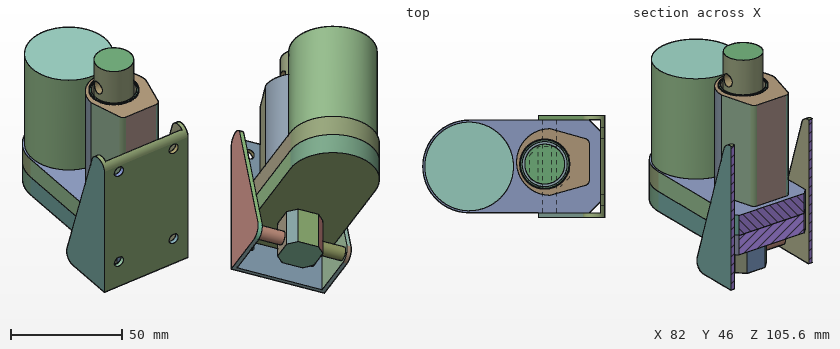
import cadquery as cq
import math


GEARBOX_RADIUS = 20.9
GEARBOX_CHAMFER = 4.9
HALF_HEIGHT = 10.0
TAIL_HEIGHT = 18.0
SPLIT_Z = TAIL_HEIGHT + HALF_HEIGHT
GEARBOX_TOP = SPLIT_Z + HALF_HEIGHT

MOTOR_RADIUS = 20.0
MOTOR_HEIGHT = 50.5

TUBE_X = 36.3
TUBE_Y = 2.0
TUBE_RADIUS = 15.0
TUBE_FLAT_X = 54.1
TUBE_FLAT_HALF_WIDTH = 10.0
TUBE_CORNER_RADIUS = 2.3
TUBE_TOP = 88.8

ROD_X = 34.0
ROD_Y = 1.1
ROD_RADIUS = 9.0
ROD_TOP = 105.6
ROD_HOLE_DIAMETER = 6.1
ROD_HOLE_Z = 93.7
BORE_RADIUS = 10.1
GROOVE_INNER_RADIUS = 10.9
GROOVE_OUTER_RADIUS = 11.3
GROOVE_DEPTH = 0.5

TAIL_X = 36.1
TAIL_WIDTH = 17.9
TAIL_CHAMFER = 3.9
PIN_DIAMETER = 6.4
PIN_Z = 6.5

BRACKET_WIDTH = 46.0
BRACKET_INNER_WIDTH = 2 * GEARBOX_RADIUS
SHEET = (BRACKET_WIDTH - BRACKET_INNER_WIDTH) / 2
OVERALL_LENGTH = 82.0
BRACKET_BACK_X = OVERALL_LENGTH - GEARBOX_RADIUS
PLATE_FACE_X = BRACKET_BACK_X - SHEET
CORNER_RADIUS = 5.0
BRACKET_BOTTOM = PIN_Z - CORNER_RADIUS
BRACKET_TOP = 74.2
SCREW_HOLE_DIAMETER = 5.0
SCREW_HOLE_Y = 15.0
SCREW_HOLE_LEVELS = (15.5, 66.1)


def level(z):
    """Horizontal workplane at height z."""
    return cq.Workplane("XY").workplane(offset=z)


def cylinder(x, y, z, radius, height):
    """Upright cylinder standing on height z."""
    return level(z).center(x, y).circle(radius).extrude(height)


def along_y(x, z, diameter, length):
    """Cylinder parallel to Y, centred on the XZ plane."""
    return cq.Workplane("XZ").center(x, z).circle(diameter / 2).extrude(length / 2, both=True)


def gearbox_half(z):
    """Round-ended plate with its two bracket-side corners chamfered."""
    r = GEARBOX_RADIUS
    block = (
        level(z)
        .moveTo(0, r)
        .threePointArc((-r, 0), (0, -r))
        .lineTo(PLATE_FACE_X, -r)
        .lineTo(PLATE_FACE_X, r)
        .close()
        .extrude(HALF_HEIGHT)
    )
    return block.edges("|Z and >X").chamfer(GEARBOX_CHAMFER)


def make_lower_gearbox():
    """Lower gearbox half with the pivot tail, drilled for the bracket pin."""
    tail = (
        level(0)
        .center(TAIL_X, 0)
        .rect(TAIL_WIDTH, TAIL_WIDTH)
        .extrude(TAIL_HEIGHT)
        .edges("|Z")
        .chamfer(TAIL_CHAMFER)
    )
    pin_hole = along_y(TAIL_X, PIN_Z, PIN_DIAMETER, BRACKET_WIDTH)
    return gearbox_half(TAIL_HEIGHT).union(tail).cut(pin_hole)


def make_tube():
    """Guide tube with a rod bore down to the gearbox and a ring groove in its top face."""
    tube = (
        level(GEARBOX_TOP)
        .center(TUBE_X, TUBE_Y)
        .moveTo(0, TUBE_RADIUS)
        .threePointArc((-TUBE_RADIUS, 0), (0, -TUBE_RADIUS))
        .lineTo(TUBE_FLAT_X - TUBE_X, -TUBE_FLAT_HALF_WIDTH)
        .lineTo(TUBE_FLAT_X - TUBE_X, TUBE_FLAT_HALF_WIDTH)
        .close()
        .extrude(TUBE_TOP - GEARBOX_TOP)
        .edges("|Z and >X")
        .fillet(TUBE_CORNER_RADIUS)
    )
    groove = (
        level(TUBE_TOP)
        .center(ROD_X, ROD_Y)
        .circle(GROOVE_OUTER_RADIUS)
        .circle(GROOVE_INNER_RADIUS)
        .extrude(-GROOVE_DEPTH)
    )
    bore = cylinder(ROD_X, ROD_Y, GEARBOX_TOP, BORE_RADIUS, TUBE_TOP - GEARBOX_TOP)
    return tube.cut(groove).cut(bore)


def make_upper_gearbox():
    """Upper gearbox half carrying the guide tube."""
    return gearbox_half(SPLIT_Z).union(make_tube())


def make_motor():
    """Plain cylindrical motor can on the gearbox."""
    return cylinder(0, 0, GEARBOX_TOP, MOTOR_RADIUS, MOTOR_HEIGHT)


def make_rod():
    """Rod standing on the bore floor, with a cross hole along Y."""
    rod = cylinder(ROD_X, ROD_Y, GEARBOX_TOP, ROD_RADIUS, ROD_TOP - GEARBOX_TOP)
    return rod.cut(along_y(ROD_X, ROD_HOLE_Z, ROD_HOLE_DIAMETER, BRACKET_WIDTH))


def make_bracket():
    """Folded bracket with its pivot pin and back-plate screw holes."""
    r = CORNER_RADIUS
    tip_x = BRACKET_BACK_X - r
    tip_z = BRACKET_TOP - r
    slope = math.atan2(tip_z - PIN_Z, tip_x - TAIL_X)
    edge_x = -r * math.sin(slope)
    edge_z = r * math.cos(slope)
    low_angle = slope / 2 + math.pi
    tip_angle = (slope + math.pi / 2) / 2
    body = (
        cq.Workplane("XZ")
        .moveTo(BRACKET_BACK_X, BRACKET_BOTTOM)
        .lineTo(TAIL_X, BRACKET_BOTTOM)
        .threePointArc(
            (TAIL_X + r * math.cos(low_angle), PIN_Z + r * math.sin(low_angle)),
            (TAIL_X + edge_x, PIN_Z + edge_z),
        )
        .lineTo(tip_x + edge_x, tip_z + edge_z)
        .threePointArc(
            (tip_x + r * math.cos(tip_angle), tip_z + r * math.sin(tip_angle)),
            (BRACKET_BACK_X, tip_z),
        )
        .close()
        .extrude(BRACKET_WIDTH / 2, both=True)
    )
    opening = cq.Workplane("XY").box(
        PLATE_FACE_X, BRACKET_INNER_WIDTH, ROD_TOP, centered=(False, True, False)
    )
    screw_holes = (
        cq.Workplane("YZ", origin=(PLATE_FACE_X, 0, 0))
        .pushPoints([(y, z) for y in (-SCREW_HOLE_Y, SCREW_HOLE_Y) for z in SCREW_HOLE_LEVELS])
        .circle(SCREW_HOLE_DIAMETER / 2)
        .extrude(SHEET)
    )
    pin = along_y(TAIL_X, PIN_Z, PIN_DIAMETER, BRACKET_WIDTH)
    return body.cut(opening).cut(screw_holes).union(pin)


lower_gearbox = make_lower_gearbox()
upper_gearbox = make_upper_gearbox()
motor = make_motor()
rod = make_rod()
bracket = make_bracket()

result = cq.Compound.makeCompound(
    [lower_gearbox.val(), upper_gearbox.val(), motor.val(), rod.val(), bracket.val()]
)